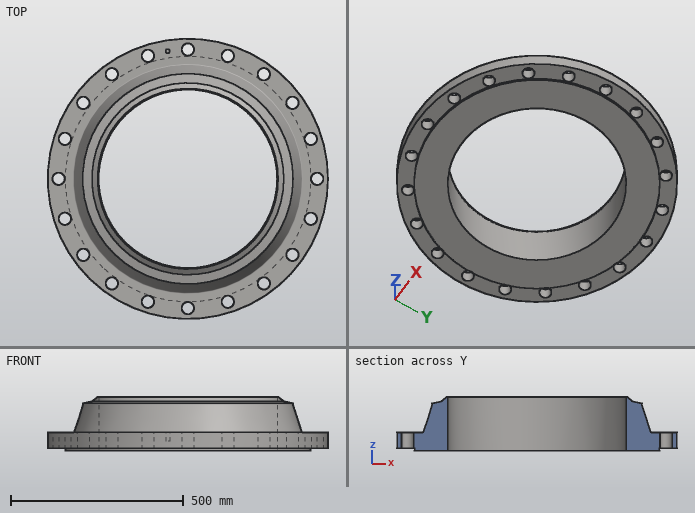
import cadquery as cq
import math


flange_radius = 406.0
flange_thickness = 46.0
raised_face_radius = 356.0
raised_face_height = 7.0
flange_top = raised_face_height + flange_thickness

overall_height = 157.0
bore_radius = 258.0
hub_base_radius = 331.0
hub_top_radius = 305.0
hub_foot_fillet = 3.0
rim_bottom = 134.0
rim_top = 138.0
bevel_foot_radius = 278.0
bevel_foot_height = 144.0
weld_end_radius = 262.0

select_margin = 1.0

bolt_circle_radius = 375.0
bolt_hole_diameter = 35.0
bolt_count = 20
bolt_pitch = 360 / bolt_count

pin_hole_diameter = 12.0
pin_hole_depth = 24.0
pin_hole_angle = 90 + bolt_pitch / 2


def polar_point(radius, angle):
    """Point on a circle about the flange axis, angle in degrees from +X."""
    return radius * math.cos(math.radians(angle)), radius * math.sin(math.radians(angle))


def ring_selector(radius, height):
    """Select the circular edges at a height that are no larger than the radius, plus a small margin."""
    reach = radius + select_margin
    return cq.selectors.BoxSelector(
        (-reach, -reach, height - select_margin),
        (reach, reach, height + select_margin),
        boundingbox=True,
    )


def make_body():
    """Revolve the half section of the flange, hub and weld bevel."""
    section = (
        cq.Workplane("XZ")
        .moveTo(bore_radius, 0)
        .lineTo(raised_face_radius, 0)
        .lineTo(raised_face_radius, raised_face_height)
        .lineTo(flange_radius, raised_face_height)
        .lineTo(flange_radius, flange_top)
        .lineTo(hub_base_radius, flange_top)
        .lineTo(hub_top_radius, rim_bottom)
        .lineTo(hub_top_radius, rim_top)
        .lineTo(bevel_foot_radius, bevel_foot_height)
        .lineTo(weld_end_radius, overall_height)
        .lineTo(bore_radius, overall_height)
        .close()
    )
    body = section.revolve(360, (0, 0, 0), (0, 1, 0))
    return body.edges(ring_selector(hub_base_radius, flange_top)).fillet(hub_foot_fillet)


def make_hole(radius, angle, diameter, depth):
    """Cutting cylinder that runs down from the top face of the flange plate."""
    return (
        cq.Workplane("XY", origin=(0, 0, flange_top - depth))
        .center(*polar_point(radius, angle))
        .circle(diameter / 2)
        .extrude(depth)
    )


result = make_body()
for index in range(bolt_count):
    result = result.cut(
        make_hole(bolt_circle_radius, index * bolt_pitch, bolt_hole_diameter, flange_thickness)
    )
result = result.cut(make_hole(bolt_circle_radius, pin_hole_angle, pin_hole_diameter, pin_hole_depth))